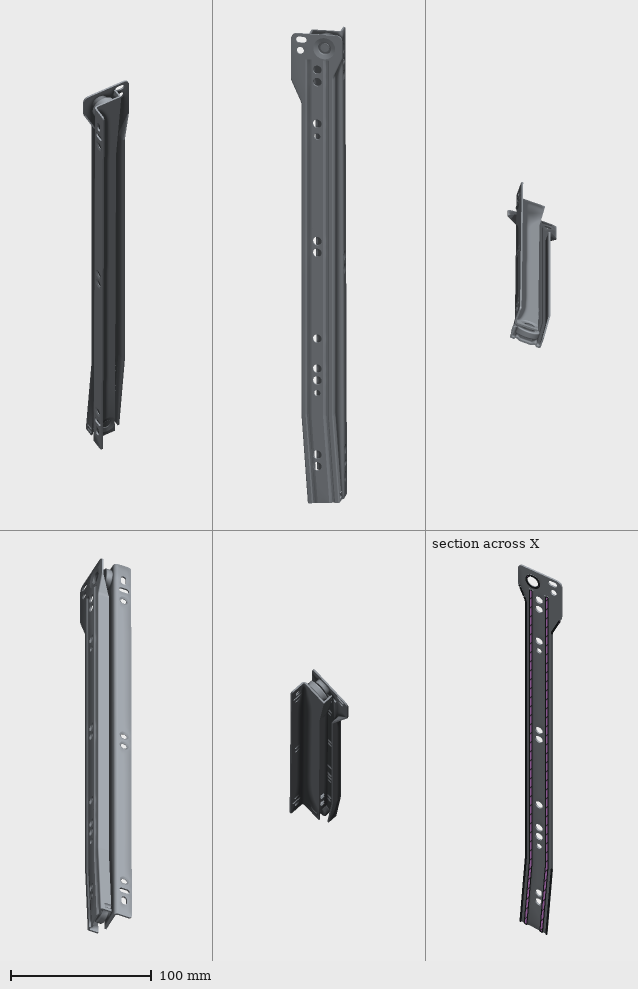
import cadquery as cq
import math


length = 351.0
sheet = 1.23
rear_slope = math.tan(math.radians(4.0))

axle_y = 12.8
front_axle_z = 341.0
rear_axle_z = 10.5
roller_radius = 8.8
roller_width = 5.0
roller_rounding = 0.88
roller_play = 0.18
axle_radius = 2.0
axle_head_radius = 3.0
axle_head_height = 0.88

rail_bottom_y = 6.3
rail_top_y = 29.5
wall_reach = 8.25
bend_z = 66.5
rail_drop = bend_z * rear_slope
rail_rounding = 1.0

head_top_y = 37.0
head_corner = 4.2
upper_slope_z = (299.0, 315.5)
lower_slope_z = (319.5, 333.5)
flare_rounding = 6.5

groove_depth = 1.0
groove_width = 1.2
groove_inner_slope = 0.6
groove_outer_slope = 0.25
groove_top_z = 332.0
upper_groove_y = 22.0
lower_groove_y = 13.7

rail_hole_y = 18.0
screw_hole_diameter = 6.3
screw_hole_z = (28.0, 37.0, 92.5, 101.0, 123.5, 188.0, 196.5, 284.5, 315.5, 324.8)
small_hole_diameter = 4.5
small_hole_z = (83.0, 275.0)
head_slot_y = 29.5
head_slot_z = 346.5
head_slot_length = 7.7
head_slot_width = 4.5
head_hole_y = 30.2
head_hole_z = 338.5
head_hole_diameter = 5.3

stop_bead_z = 6.0
stop_bead_radius = 2.0
bead_depth = 1.0
stop_bead_x = 3.0

front_cup_radius = 6.0
front_cup_height = 3.0
rear_cup_radius = 5.0
rear_cup_height = 2.0
cup_flare_width = 3.0
cup_flare_depth = 0.88

web_x = 11.0
foot_end_x = 24.0
foot_bottom_y = 1.12
drawer_rear_z = 0.7
drawer_front_z = 350.7
foot_bend_radius = 2.65
foot_corner = 2.0
track_x = 4.05
track_top_y = 19.0
track_rear_z = 24.5
ramp_z = 291.5
ramp_rise = (drawer_front_z - ramp_z) * rear_slope
drawer_tilt = 0.2
track_bead_z = (44.2, 64.5)
track_bead_radius = 2.8
track_bead_x = 7.7

foot_middle_z = 176.07
foot_hole_x = 18.3
foot_hole_diameter = 4.5
countersink_diameter = 7.5
countersink_depth = 0.88
foot_hole_offsets = (5.0, 140.0)
cross_slot_offset = 150.3
long_slot_offset = 160.0
long_slot_x = 18.0
foot_slot_length = 7.7
foot_slot_width = 4.2

front_roller_x = web_x - roller_play - roller_width
rear_roller_x = 3.5


def plate(points, x_start, x_end):
    """Flat (y, z) outline made solid from x_start to x_end."""
    outline = cq.Workplane("YZ", origin=(x_start, 0, 0)).polyline(points).close()
    return outline.extrude(x_end - x_start)


def disc(radius, x_start, x_end, y, z):
    """Round bar along X."""
    return cq.Workplane("YZ", origin=(x_start, y, z)).circle(radius).extrude(x_end - x_start)


def wall_strip(points, step):
    """Side wall that follows (y, z) points, one sheet thick towards the side given by step."""
    inner = [(y + step, z) for y, z in reversed(points)]
    strip = plate(points + inner, 0, wall_reach)
    foot_y, foot_z = points[2]
    for y in (foot_y, foot_y + step):
        foot_edge = cq.selectors.NearestToPointSelector((wall_reach / 2, y, foot_z))
        strip = strip.edges("|X").edges(foot_edge).fillet(flare_rounding)
    return strip


def trim_wall(wall, slope_z):
    """Let the wall rise from the web along the flare, from slope_z[1] down to slope_z[0]."""
    foot_z, head_z = slope_z
    profile = [(0, 0), (0, head_z), (sheet, head_z), (wall_reach, foot_z), (wall_reach, 0)]
    limit = cq.Workplane("XZ").polyline(profile).close().extrude(-head_top_y)
    return wall.intersect(limit)


def groove_run(base_x, edge_y, outward):
    """Trapezoid bar along the rail that starts at base_x and follows the bend of the rail."""
    profile = [
        (base_x, edge_y),
        (base_x + groove_depth, edge_y + outward * groove_inner_slope),
        (base_x + groove_depth, edge_y + outward * (groove_width - groove_outer_slope)),
        (base_x, edge_y + outward * groove_width),
    ]
    wire = cq.Wire.makePolygon([cq.Vector(x, y, bend_z) for x, y in profile], close=True)
    front = cq.Solid.extrudeLinear(wire, [], cq.Vector(0, 0, groove_top_z - bend_z))
    rear = cq.Solid.extrudeLinear(wire, [], cq.Vector(0, -rail_drop, -bend_z))
    return cq.Workplane(front).union(cq.Workplane(rear))


def make_cabinet_channel():
    """Web with its head plate and the two side walls."""
    lower = [
        (rail_bottom_y - rail_drop, 0),
        (rail_bottom_y, bend_z),
        (rail_bottom_y, lower_slope_z[0]),
        (0, lower_slope_z[1]),
    ]
    upper = [
        (rail_top_y - rail_drop, 0),
        (rail_top_y, bend_z),
        (rail_top_y, upper_slope_z[0]),
        (head_top_y, upper_slope_z[1]),
    ]
    head = [(0, length), (head_top_y, length)]
    web = plate(lower + head + upper[::-1], 0, sheet)
    web = web.edges("|X and >Z").fillet(head_corner)

    channel = web.union(trim_wall(wall_strip(lower, sheet), lower_slope_z))
    channel = channel.union(trim_wall(wall_strip(upper, -sheet), upper_slope_z))

    long_edges = channel.faces("<X").edges().filter(
        lambda edge: edge.Center().z < upper_slope_z[0] and edge.Length() > bend_z / 2
    )
    return channel.newObject(long_edges.vals()).fillet(rail_rounding)


def add_grooves(rail):
    for edge_y, outward in ((upper_groove_y, 3.5), (lower_groove_y, -3.5)):
        rail = rail.union(groove_run(sheet, edge_y, outward))
        rail = rail.cut(groove_run(0, edge_y, outward))
    return rail


def add_stop_bead(rail):
    """Bead pressed into the lower wall near the rear end."""
    wall_y = rail_bottom_y - (bend_z - stop_bead_z) * rear_slope
    centre_y = wall_y + bead_depth - stop_bead_radius
    bulge = disc(stop_bead_radius, stop_bead_x, wall_reach, centre_y + sheet, stop_bead_z)
    valley = disc(stop_bead_radius, stop_bead_x, wall_reach, centre_y, stop_bead_z)
    return rail.union(bulge).cut(valley)


def square_rear_end(rail):
    """Cut the rear end at right angles to the dropping stretch."""
    high_y = rail_top_y - rail_drop
    low_y = rail_bottom_y - rail_drop - sheet
    rise = (high_y - low_y) * rear_slope
    wedge = plate([(high_y, 0), (low_y, rise), (low_y, -rise), (high_y, -rise)], 0, wall_reach)
    return rail.cut(wedge)


def cut_rail_holes(rail):
    for z in screw_hole_z:
        rail = rail.cut(disc(screw_hole_diameter / 2, 0, sheet, rail_hole_y, z))
    for z in small_hole_z:
        rail = rail.cut(disc(small_hole_diameter / 2, 0, sheet, rail_hole_y, z))
    rail = rail.cut(disc(head_hole_diameter / 2, 0, sheet, head_hole_y, head_hole_z))
    slot = cq.Workplane("YZ", origin=(0, head_slot_y, head_slot_z))
    return rail.cut(slot.slot2D(head_slot_length, head_slot_width).extrude(sheet))


def add_cup(rail, face_x, direction, radius, height, z):
    """Cup pressed out of a sheet: face_x is its open face and direction the way it points."""
    tip_x = face_x + direction * (sheet + height)
    floor_x = tip_x - direction * sheet
    cup = disc(radius, face_x, tip_x, axle_y, z)
    hollow = disc(radius - sheet, face_x, floor_x, axle_y, z)
    mouth = cq.Workplane("YZ", origin=(face_x, axle_y, z)).circle(radius - sheet + cup_flare_width)
    mouth = mouth.workplane(offset=direction * cup_flare_depth).circle(radius - sheet).loft()
    bore = disc(axle_radius, floor_x, tip_x, axle_y, z)
    return rail.union(cup).cut(hollow).cut(mouth).cut(bore)


def make_cabinet_rail():
    rail = add_grooves(make_cabinet_channel())
    rail = add_stop_bead(rail)
    rail = square_rear_end(rail)
    rail = cut_rail_holes(rail)
    return add_cup(rail, 0, 1, front_cup_radius, front_cup_height, front_axle_z)


def make_foot_and_web():
    """L-shaped section with a bent corner, up to the top of the level track."""
    section = [
        (web_x, track_top_y),
        (web_x, foot_bottom_y),
        (foot_end_x, foot_bottom_y),
        (foot_end_x, foot_bottom_y + sheet),
        (web_x + sheet, foot_bottom_y + sheet),
        (web_x + sheet, track_top_y),
    ]
    start = cq.Workplane("XY", origin=(0, 0, drawer_rear_z))
    angle = start.polyline(section).close().extrude(drawer_front_z - drawer_rear_z)
    inner = cq.selectors.NearestToPointSelector((web_x + sheet, foot_bottom_y + sheet, length / 2))
    outer = cq.selectors.NearestToPointSelector((web_x, foot_bottom_y, length / 2))
    angle = angle.edges("|Z").edges(inner).fillet(foot_bend_radius - sheet)
    angle = angle.edges("|Z").edges(outer).fillet(foot_bend_radius)
    return angle.faces(">X").edges("|Y").fillet(foot_corner)


def make_track():
    """Track wall that runs on the front roller, and the web that rises with its ramp."""
    top = [
        (track_top_y, track_rear_z),
        (track_top_y, ramp_z),
        (track_top_y + ramp_rise, drawer_front_z),
    ]
    underside = [(y - sheet, z) for y, z in reversed(top)]
    wall = plate(top + underside, track_x, web_x + sheet)
    ramp_web = [
        (track_top_y - sheet, ramp_z),
        (track_top_y, ramp_z),
        (track_top_y + ramp_rise, drawer_front_z),
        (track_top_y - sheet, drawer_front_z),
    ]
    return wall.union(plate(ramp_web, web_x, web_x + sheet))


def add_track_beads(rail):
    """Stop beads pressed down out of the track wall near its rear end."""
    for z in track_bead_z:
        centre_y = track_top_y - sheet - bead_depth + track_bead_radius
        bulge = disc(track_bead_radius, track_bead_x, web_x, centre_y, z)
        valley = disc(track_bead_radius, track_bead_x, web_x, centre_y + sheet, z)
        rail = rail.union(bulge).cut(valley)
    return rail


def foot_plane(x, z):
    """Plane on the underside of the foot, facing away from it."""
    return cq.Workplane("XZ", origin=(x, foot_bottom_y, z))


def cut_foot_holes(rail):
    for side in (-1, 1):
        for offset in foot_hole_offsets:
            place = foot_plane(foot_hole_x, foot_middle_z + side * offset)
            rail = rail.cut(place.circle(foot_hole_diameter / 2).extrude(-sheet))
            cone = place.circle(countersink_diameter / 2).workplane(offset=-countersink_depth)
            rail = rail.cut(cone.circle(foot_hole_diameter / 2).loft())
        cross = foot_plane(foot_hole_x, foot_middle_z + side * cross_slot_offset)
        rail = rail.cut(cross.slot2D(foot_slot_length, foot_slot_width).extrude(-sheet))
        along = foot_plane(long_slot_x, foot_middle_z + side * long_slot_offset)
        rail = rail.cut(along.slot2D(foot_slot_length, foot_slot_width, 90).extrude(-sheet))
    return rail


def make_drawer_rail():
    rail = make_foot_and_web().union(make_track())
    rail = add_track_beads(rail)
    rail = cut_foot_holes(rail)
    rail = add_cup(rail, web_x + sheet, -1, rear_cup_radius, rear_cup_height, rear_axle_z)
    axis = (0, axle_y, rear_axle_z)
    return rail.rotate(axis, (1, axle_y, rear_axle_z), -drawer_tilt)


def make_roller(x_start, z):
    """Roller with rounded rims and a bore for its axle."""
    roller = disc(roller_radius, x_start, x_start + roller_width, axle_y, z)
    roller = roller.edges().fillet(roller_rounding)
    return roller.cut(disc(axle_radius, x_start, x_start + roller_width, axle_y, z))


def make_axle(floor_x, end_x, z):
    """Rivet whose head rests on the cup floor at floor_x and whose shank ends at end_x."""
    direction = math.copysign(1, end_x - floor_x)
    head = disc(axle_head_radius, floor_x - direction * axle_head_height, floor_x, axle_y, z)
    return head.union(disc(axle_radius, floor_x, end_x, axle_y, z))


cabinet_rail = make_cabinet_rail()
drawer_rail = make_drawer_rail()
rollers = [
    make_roller(front_roller_x, front_axle_z),
    make_roller(rear_roller_x, rear_axle_z),
]
axles = [
    make_axle(front_cup_height, front_roller_x + roller_width, front_axle_z),
    make_axle(web_x + sheet - rear_cup_height, rear_roller_x, rear_axle_z),
]

result = cq.Compound.makeCompound(
    [cabinet_rail.val(), drawer_rail.val()] + [body.val() for body in rollers + axles]
)